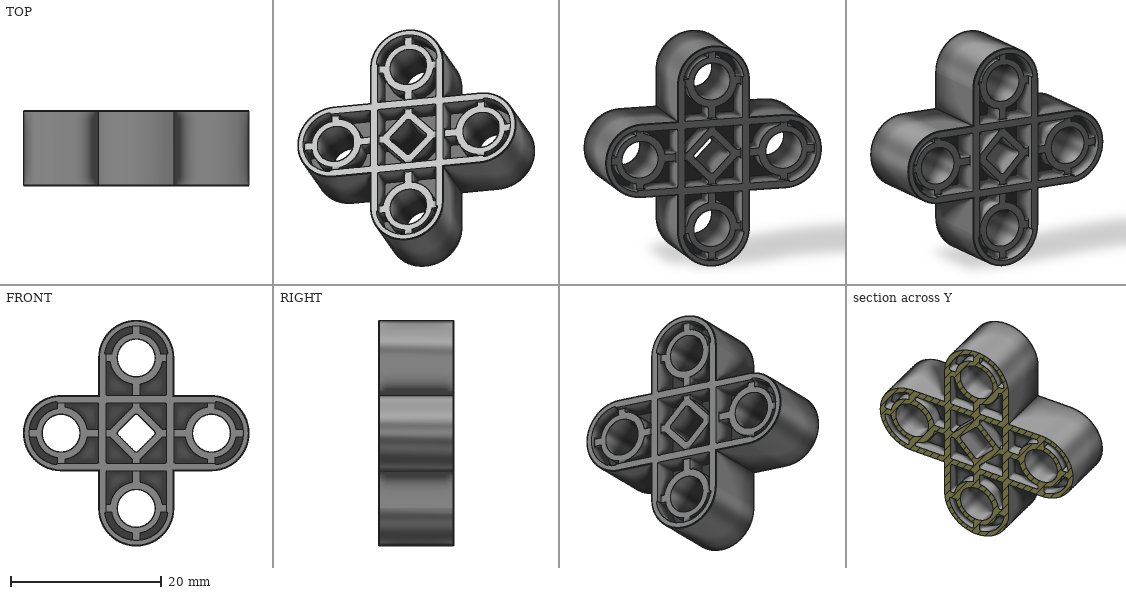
import cadquery as cq

pitch = 10.0
arm_width = 10.0
thickness = 10.0
edge_chamfer = 0.1

wall = 1.0
end_wall = 0.75
web_thickness = 2.0
corner_radius = 0.2

hub_setback = 0.8
rib_width = 1.0
pin_hole_diameter = 5.0
hub_inner_radius = 3.5
hub_outer_radius = 3.3
axle_half_diagonal = 2.65
axle_corner_radius = 0.35

half_width = arm_width / 2
half_thickness = thickness / 2
cavity_half_width = half_width - wall
end_cavity_radius = half_width - end_wall
rib_half = rib_width / 2
web_half = web_thickness / 2
pocket_depth = half_thickness - web_half
cavity_foot = pitch - half_width
end_cavity_start = pitch + rib_half
axle_hub_half_diagonal = cavity_half_width
arm_angles = (0, 90, 180, 270)


def block(x_min, x_max, z_min, z_max, depth):
    """Rectangular prism reaching from the front face down to the given depth."""
    return (
        cq.Workplane("XZ", origin=(0, depth - half_thickness, 0))
        .moveTo((x_min + x_max) / 2, (z_min + z_max) / 2)
        .rect(x_max - x_min, z_max - z_min)
        .extrude(depth)
    )


def arm_disc(radius, depth):
    """Disc about the pin hole of the +Z arm, from the front face to the given depth."""
    return (
        cq.Workplane("XZ", origin=(0, depth - half_thickness, pitch))
        .circle(radius)
        .extrude(depth)
    )


def diamond(half_diagonal):
    """Square prism standing on its corner, through the full thickness."""
    return (
        cq.Workplane("XZ")
        .polyline([(half_diagonal, 0), (0, half_diagonal), (-half_diagonal, 0), (0, -half_diagonal)])
        .close()
        .extrude(half_thickness, both=True)
    )


def turn(shape, angle):
    """Shape turned about the Y axis of the cross."""
    return shape.rotate((0, 0, 0), (0, 1, 0), angle)


def make_body():
    """Solid cross of two crossing round-ended bars."""
    span = 2 * pitch + arm_width
    upright = cq.Workplane("XZ").slot2D(span, arm_width, 90).extrude(half_thickness, both=True)
    crossbar = cq.Workplane("XZ").slot2D(span, arm_width).extrude(half_thickness, both=True)
    return upright.union(crossbar).faces("|Y").chamfer(edge_chamfer)


def arm_recess():
    """Shallow hollow of the +Z arm, above its hub and ribs."""
    straight_top = end_cavity_start + corner_radius / 2
    straight = block(-cavity_half_width, cavity_half_width, cavity_foot, straight_top, hub_setback)
    straight = straight.edges("|Y and <Z").fillet(corner_radius)
    end = block(-half_width, half_width, end_cavity_start, pitch + half_width, hub_setback)
    end = end.intersect(arm_disc(end_cavity_radius, hub_setback))
    end = end.edges("|Y").fillet(corner_radius)
    return straight.union(end)


def arm_pockets():
    """Deep pockets on the +X side of the +Z arm: one by the centre, one in the round end."""
    inner = block(rib_half, cavity_half_width, cavity_foot, pitch - rib_half, pocket_depth)
    inner = inner.cut(arm_disc(hub_inner_radius, pocket_depth))
    inner = inner.edges("|Y").fillet(corner_radius)

    outer = block(rib_half, half_width, end_cavity_start, pitch + half_width, pocket_depth)
    outer = outer.intersect(arm_disc(end_cavity_radius, pocket_depth))
    outer = outer.edges("|Y").fillet(corner_radius)
    outer = outer.cut(arm_disc(hub_outer_radius, pocket_depth))
    return inner, outer


def centre_recess():
    """Shallow hollow of the centre square, above the axle hub."""
    size = cavity_half_width
    return block(-size, size, -size, size, hub_setback).edges("|Y").fillet(corner_radius)


def centre_pocket():
    """Deep pocket in the +X +Z corner of the centre square."""
    pocket = block(rib_half, cavity_half_width, rib_half, cavity_half_width, pocket_depth)
    return pocket.edges("|Y").fillet(corner_radius).cut(diamond(axle_hub_half_diagonal))


def cut_both_faces(body, cutter):
    """Cut the front face and, mirrored, the back face."""
    return body.cut(cutter).cut(cutter.mirror("XZ"))


def make_part():
    part = cut_both_faces(make_body(), centre_recess())
    part = part.cut(diamond(axle_half_diagonal).edges("|Y").fillet(axle_corner_radius))

    recess = arm_recess()
    pockets = arm_pockets()
    pin_hole = arm_disc(pin_hole_diameter / 2, thickness)
    corner_pocket = centre_pocket()
    for angle in arm_angles:
        part = cut_both_faces(part, turn(recess, angle))
        for pocket in pockets:
            part = cut_both_faces(part, turn(pocket, angle))
            part = cut_both_faces(part, turn(pocket.mirror("YZ"), angle))
        part = part.cut(turn(pin_hole, angle))
        part = cut_both_faces(part, turn(corner_pocket, angle))
    return part


result = make_part()